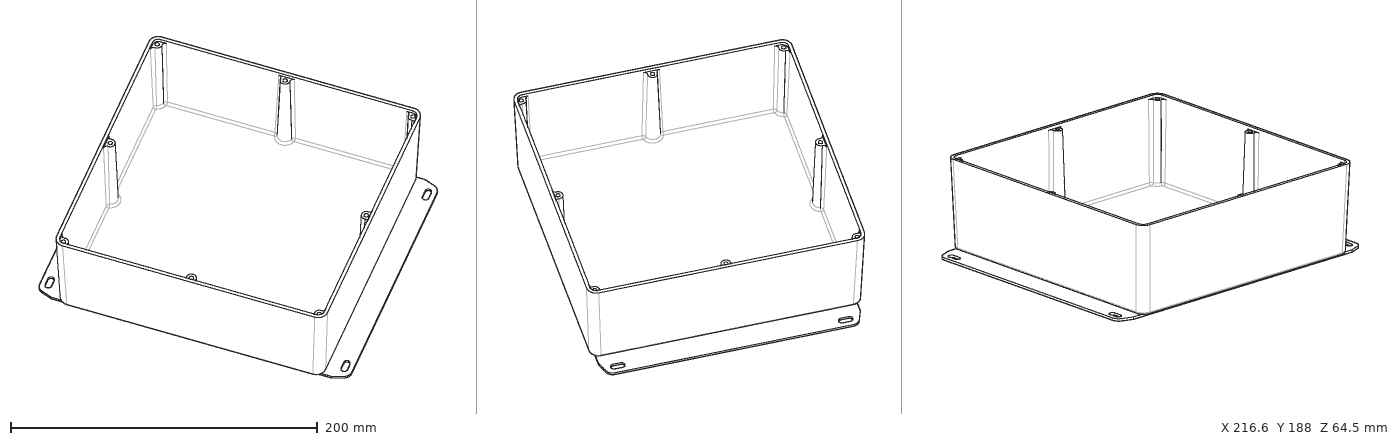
import cadquery as cq
import math

flange_length = 216.6
rim_side = 188.0
total_height = 64.5

flange_thickness = 1.7
outer_draft = 2.0
outer_corner_radius = 6.5
bottom_edge_radius = 1.5
rim_width = 2.4
floor_thickness = 2.5
inner_draft = 2.6
inner_corner_radius = outer_corner_radius - rim_width
floor_fillet_radius = 1.7
box_height = total_height - flange_thickness
cavity_side = rim_side - 2 * rim_width
cavity_depth = box_height - floor_thickness
floor_height = flange_thickness + floor_thickness

boss_inset = 5.2
boss_radius = 3.2
boss_draft = 2.0
boss_drop = 2.2
boss_blend_radius = 2.2
band_half_thickness = 0.55
band_half_height = 2.2
boss_top = total_height - boss_drop
boss_height = boss_top - floor_height
boss_offset = rim_side / 2 - boss_inset
screw_hole_diameter = 2.8
screw_hole_depth = 17.3

flange_width = 177.2
flange_shoulder_x = 97.0
flange_end_angle = 20.0
flange_corner_radius = 5.5
slot_length = 9.5
slot_width = 4.3
slot_x = flange_length / 2 - 5.6
slot_y = 77.1

RIGHT, UP, LEFT, DOWN = (1, 0), (0, 1), (-1, 0), (0, -1)
BOSSES = [
    [RIGHT], [UP], [LEFT], [DOWN],
    [RIGHT, UP], [LEFT, UP], [LEFT, DOWN], [RIGHT, DOWN],
]


def tapered_block(side, corner_radius, depth, draft):
    """Square block with rounded corners, narrowing downward from the rim plane."""
    block = cq.Workplane(origin=(0, 0, total_height)).rect(side, side).extrude(-depth, taper=draft)
    return block.edges("not(#Z)").fillet(corner_radius)


def boss_center(walls):
    x = boss_offset * sum(wall[0] for wall in walls)
    y = boss_offset * sum(wall[1] for wall in walls)
    return x, y


def make_boss(walls):
    """Round boss widening downward, standing partly inside the walls."""
    x, y = boss_center(walls)
    return cq.Workplane(origin=(x, y, boss_top)).circle(boss_radius).extrude(-boss_height, taper=-boss_draft)


def wall_band(wall):
    """Selector for the boss edges centered close to the inner face of one wall, at half height."""
    dx, dy = wall
    middle_height = (floor_height + boss_top) / 2
    wall_middle = cavity_side / 2 - (total_height - middle_height) * math.tan(math.radians(inner_draft))
    half_x = band_half_thickness if dx else rim_side / 2
    half_y = band_half_thickness if dy else rim_side / 2
    x, y = dx * wall_middle, dy * wall_middle
    return cq.selectors.BoxSelector(
        (x - half_x, y - half_y, middle_height - band_half_height),
        (x + half_x, y + half_y, middle_height + band_half_height),
    )


def make_cavity():
    """Inner space of the box, with the bosses taken out of it and its edges blended."""
    cavity = tapered_block(cavity_side, inner_corner_radius, cavity_depth, inner_draft)
    for walls in BOSSES:
        cavity = cavity.cut(make_boss(walls))
    for wall in (RIGHT, UP, LEFT, DOWN):
        cavity = cavity.edges(wall_band(wall)).fillet(boss_blend_radius)
    return cavity.faces("<Z").edges().fillet(floor_fillet_radius)


def make_flange():
    end_drop = (flange_length / 2 - flange_shoulder_x) * math.tan(math.radians(flange_end_angle))
    half_length, half_width = flange_length / 2, flange_width / 2
    corner = half_width - end_drop
    outline = [
        (-half_length, -corner), (-flange_shoulder_x, -half_width),
        (flange_shoulder_x, -half_width), (half_length, -corner),
        (half_length, corner), (flange_shoulder_x, half_width),
        (-flange_shoulder_x, half_width), (-half_length, corner),
    ]
    flange = cq.Workplane().polyline(outline).close().extrude(flange_thickness)
    flange = flange.edges("|Z and (<X or >X)").fillet(flange_corner_radius)
    slots = (
        cq.Workplane()
        .rect(2 * slot_x, 2 * slot_y, forConstruction=True).vertices()
        .slot2D(slot_length, slot_width, angle=90)
        .extrude(flange_thickness)
    )
    return flange.cut(slots)


box = tapered_block(rim_side, outer_corner_radius, box_height, outer_draft)
box = box.faces("<Z").edges().fillet(bottom_edge_radius)
screw_holes = (
    cq.Workplane(origin=(0, 0, boss_top))
    .pushPoints([boss_center(walls) for walls in BOSSES])
    .circle(screw_hole_diameter / 2)
    .extrude(-screw_hole_depth)
)
result = box.cut(make_cavity()).cut(screw_holes).union(make_flange())